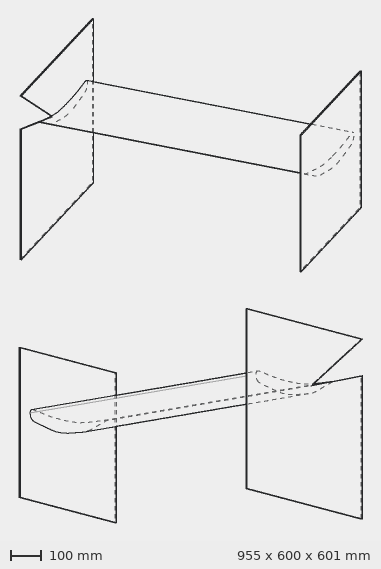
import cadquery as cq

span = 955.0
plate_thickness = 5.0

left_depth = 600.0
left_height = 601.0
right_side = 500.0

notch_mouth = 122.0
notch_tip_y = -336.0
notch_tip_z = -201.0

leading_y = -52.0
leading_z = -210.0
trailing_y = -449.0
trailing_z = -166.0
trailing_thickness = 2.0
wing_bottom_z = -250.0
wing_bottom_y = -191.0


def left_plate():
    outline = [
        (0, 0),
        (-left_depth, 0),
        (notch_tip_y, notch_tip_z),
        (-left_depth, -notch_mouth),
        (-left_depth, -left_height),
        (0, -left_height),
    ]
    return cq.Workplane("YZ").polyline(outline).close().extrude(plate_thickness)


def right_plate():
    return (
        cq.Workplane("YZ", origin=(span - plate_thickness, 0, 0))
        .rect(-right_side, -right_side, centered=False)
        .extrude(plate_thickness)
    )


def wing():
    upper_points = [(-401.0, -178.0), (-359.0, -189.0), (-315.0, -199.0), (-210.0, -205.0), (-86.0, -198.0)]
    lower_points = [(-95.5, -239.0), (wing_bottom_y, wing_bottom_z), (-325.0, -228.0)]
    lower_trailing_edge = (trailing_y, trailing_z - trailing_thickness)
    return (
        cq.Workplane("YZ", origin=(plate_thickness, 0, 0))
        .moveTo(trailing_y, trailing_z)
        .spline(upper_points + [(leading_y, leading_z)], tangents=[(1, -0.25), (0, -1)], includeCurrent=True)
        .spline(lower_points + [lower_trailing_edge], tangents=[(0, -1), (-1, 0.55)], includeCurrent=True)
        .close()
        .extrude(span - 2 * plate_thickness)
    )


result = left_plate().union(wing()).union(right_plate())